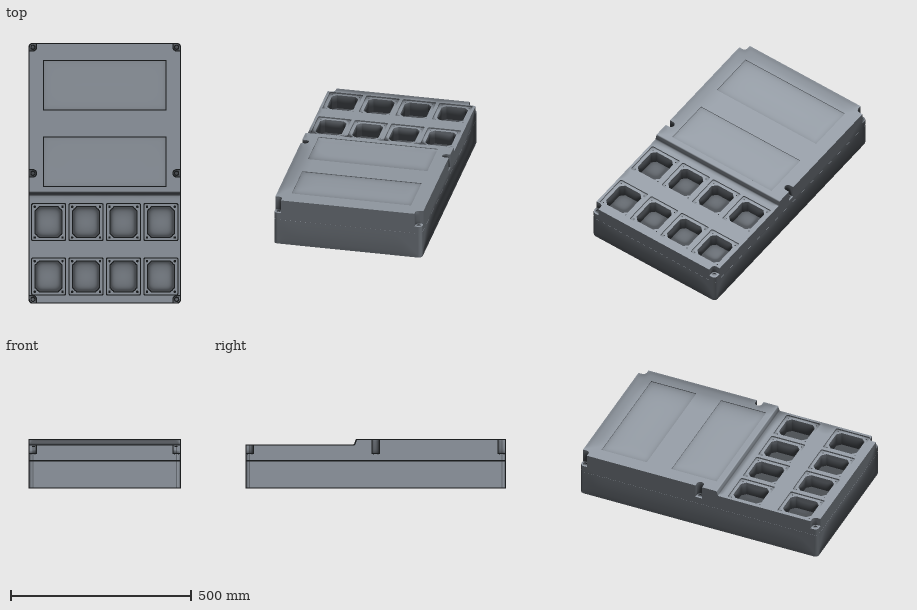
import cadquery as cq

width = 420.0
length = 720.0
height = 135.0
corner_radius = 11.0

clearance = 7.0

seam_z = 75.0
seam_height = 2.0
seam_depth = 0.35

deck_z = 120.0
step_top_y = -54.0
step_bottom_y = -59.0
step_fillet = 3.5

window_width = 338.5
window_length = 137.0
window_depth = 2.0
window_centers_y = (244.0, 32.5)

notch_radius = 10.0
notch_floor_z = 96.0
notch_inset = 11.0
screw_hole_radius = 6.0
screw_hole_depth = 3.5
notch_x = width / 2 - notch_inset
notch_end_y = length / 2 - notch_inset

bay_columns = 4
bay_pitch_x = 104.0
bay_rows_y = (-135.0, -286.0)
recess_width = 94.0
recess_length = 103.0
recess_corner_radius = 4.0
recess_depth = 4.0
pocket_width = 75.0
pocket_length = 86.0
pocket_chamfer = 11.5
pocket_depth = 45.0
pin_spacing_x = 77.0
pin_spacing_y = 85.0
pin_hole_radius = 1.8
pin_hole_depth = 3.5


def cutter(sketch, bottom_z, top_z=height):
    """Extrude a plan sketch, drawn on z = 0, between two heights."""
    return sketch.extrude(top_z - bottom_z).translate((0, 0, bottom_z))


def plan(points):
    """Start a plan sketch at the given points."""
    return cq.Workplane("XY").pushPoints(points)


def make_body():
    """Rounded block trimmed to the stepped side profile."""
    block = (
        cq.Workplane("XY")
        .rect(width, length)
        .extrude(height)
        .edges("|Z")
        .fillet(corner_radius)
    )
    side_profile = (
        cq.Workplane("YZ")
        .moveTo(-length / 2, 0)
        .lineTo(length / 2, 0)
        .lineTo(length / 2, height)
        .lineTo(step_top_y, height)
        .lineTo(step_bottom_y, deck_z)
        .lineTo(-length / 2, deck_z)
        .close()
        .extrude(width / 2, both=True)
    )
    step_middle = (step_top_y + step_bottom_y) / 2
    step_box = cq.selectors.BoxSelector(
        (-width, step_middle - clearance, deck_z - clearance),
        (width, step_middle + clearance, height + clearance),
    )
    side_profile = side_profile.edges("|X").edges(step_box).fillet(step_fillet)
    return block.intersect(side_profile)


def make_seam():
    outer = (
        cq.Workplane("XY")
        .rect(width + 2 * clearance, length + 2 * clearance)
        .extrude(seam_height)
    )
    core = (
        cq.Workplane("XY")
        .rect(width - 2 * seam_depth, length - 2 * seam_depth)
        .extrude(seam_height)
        .edges("|Z")
        .fillet(corner_radius - seam_depth)
    )
    return outer.cut(core).translate((0, 0, seam_z))


def make_windows():
    centers = [(0, y) for y in window_centers_y]
    return cutter(plan(centers).rect(window_width, window_length), height - window_depth)


def make_notch(side_x, end_y):
    """Round notch open to the long side, and to the short end when end_y is not 0."""
    center = (side_x * notch_x, end_y * notch_end_y)
    reach = notch_inset + clearance
    to_side = (center[0] + side_x * reach / 2, center[1])
    notch = cutter(plan([center]).circle(notch_radius), notch_floor_z)
    notch = notch.union(cutter(plan([to_side]).rect(reach, 2 * notch_radius), notch_floor_z))
    if end_y:
        to_end = (center[0], center[1] + end_y * reach / 2)
        corner = (to_side[0], to_end[1])
        notch = notch.union(cutter(plan([to_end]).rect(2 * notch_radius, reach), notch_floor_z))
        notch = notch.union(cutter(plan([corner]).rect(reach, reach), notch_floor_z))
    hole = cutter(plan([center]).circle(screw_hole_radius), notch_floor_z - screw_hole_depth)
    return notch.union(hole)


def make_bay():
    """One socket bay centred on the origin, at deck height."""
    recess_floor = deck_z - recess_depth
    recess = cutter(plan([(0, 0)]).rect(recess_width, recess_length), recess_floor, deck_z)
    recess = recess.edges("|Z").fillet(recess_corner_radius)
    pocket_floor = deck_z - pocket_depth
    pocket = cutter(plan([(0, 0)]).rect(pocket_width, pocket_length), pocket_floor, deck_z)
    pocket = pocket.edges("|Z").chamfer(pocket_chamfer)
    pins = cutter(
        cq.Workplane("XY").rarray(pin_spacing_x, pin_spacing_y, 2, 2).circle(pin_hole_radius),
        recess_floor - pin_hole_depth,
        deck_z,
    )
    return recess.union(pocket).union(pins)


result = make_body().cut(make_seam()).cut(make_windows())

for side_x in (-1, 1):
    for end_y in (-1, 0, 1):
        result = result.cut(make_notch(side_x, end_y))

bay = make_bay()
for row_y in bay_rows_y:
    for column in range(bay_columns):
        bay_x = (column - (bay_columns - 1) / 2) * bay_pitch_x
        result = result.cut(bay.translate((bay_x, row_y, 0)))